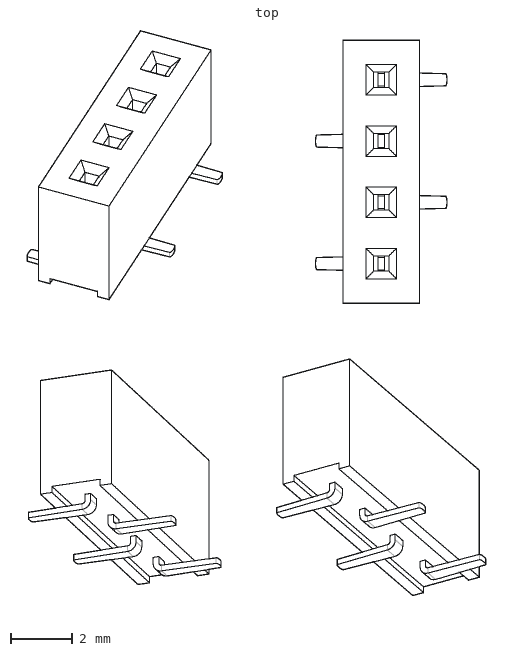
import cadquery as cq
import math

LENGTH = 8.6
WIDTH = 2.5
TOTAL_HEIGHT = 4.3
STANDOFF = 0.3
CHANNEL_WIDTH = 1.685
CHANNEL_DEPTH = 0.215

CONTACT_COUNT = 4
END_MARGIN = 1.3
PITCH = (LENGTH - 2 * END_MARGIN) / (CONTACT_COUNT - 1)

MOUTH_SIZE = 1.0
THROAT_SIZE = 0.5
MOUTH_DEPTH = (MOUTH_SIZE - THROAT_SIZE) / 2
FUNNEL_ANGLE = 45
THROAT_DEPTH = 2.0
RECESS_WIDTH = 0.2
RECESS_DEPTH = 0.04

STRIP_THICKNESS = 0.2
STRIP_WIDTH = 0.5
TIP_WIDTH = 0.4
TAIL_REACH = 2.15
BEND_INNER_RADIUS = STRIP_THICKNESS / 2
TIP_BULGE = 0.05

CHANNEL_TOP = STANDOFF + CHANNEL_DEPTH


def make_housing():
    """Block standing above the tails, with a channel along its underside."""
    block_height = TOTAL_HEIGHT - STANDOFF
    base = cq.Workplane("XY").workplane(offset=STANDOFF)
    block = base.rect(WIDTH, LENGTH).extrude(block_height)
    channel = base.rect(CHANNEL_WIDTH, LENGTH).extrude(CHANNEL_DEPTH)
    return block.cut(channel)


def make_socket(y):
    """Void of one socket, opening at the top of the housing."""
    top = cq.Workplane("XY").workplane(offset=TOTAL_HEIGHT).center(0, y)
    funnel = top.rect(MOUTH_SIZE, MOUTH_SIZE).extrude(-MOUTH_DEPTH, taper=FUNNEL_ANGLE)
    throat = top.rect(THROAT_SIZE, THROAT_SIZE).extrude(-(MOUTH_DEPTH + THROAT_DEPTH))

    throat_floor = TOTAL_HEIGHT - MOUTH_DEPTH - THROAT_DEPTH
    recess_floor = throat_floor - RECESS_DEPTH
    half_length = THROAT_SIZE / 2
    half_floor_length = half_length - RECESS_DEPTH
    recess = (
        cq.Workplane("YZ")
        .polyline([
            (y - half_length, throat_floor),
            (y + half_length, throat_floor),
            (y + half_floor_length, recess_floor),
            (y - half_floor_length, recess_floor),
        ])
        .close()
        .extrude(RECESS_WIDTH / 2, both=True)
    )
    return funnel.union(throat).union(recess)


def make_tail(y, side):
    """Strip leaving the channel roof and bending out towards side (+1 or -1) in X."""
    half = STRIP_THICKNESS / 2
    outer_radius = BEND_INNER_RADIUS + STRIP_THICKNESS
    bend_x = half + BEND_INNER_RADIUS
    bend_z = outer_radius
    diagonal = math.sqrt(0.5)

    strip = (
        cq.Workplane("XZ")
        .moveTo(-half, CHANNEL_TOP)
        .lineTo(-half, bend_z)
        .threePointArc((bend_x - outer_radius * diagonal, bend_z - outer_radius * diagonal), (bend_x, 0))
        .lineTo(TAIL_REACH, 0)
        .lineTo(TAIL_REACH, STRIP_THICKNESS)
        .lineTo(bend_x, STRIP_THICKNESS)
        .threePointArc(
            (bend_x - BEND_INNER_RADIUS * diagonal, bend_z - BEND_INNER_RADIUS * diagonal),
            (half, bend_z),
        )
        .lineTo(half, CHANNEL_TOP)
        .close()
        .extrude(STRIP_WIDTH / 2, both=True)
    )

    tip_x = TAIL_REACH - TIP_BULGE
    outline = (
        cq.Workplane("XY")
        .moveTo(-half, -STRIP_WIDTH / 2)
        .lineTo(bend_x, -STRIP_WIDTH / 2)
        .lineTo(tip_x, -TIP_WIDTH / 2)
        .ellipseArc(TIP_BULGE, TIP_WIDTH / 2, 270, 90)
        .lineTo(bend_x, STRIP_WIDTH / 2)
        .lineTo(-half, STRIP_WIDTH / 2)
        .close()
        .extrude(CHANNEL_TOP)
    )
    tail = strip.intersect(outline)
    if side < 0:
        tail = tail.mirror("YZ")
    return tail.translate((0, y, 0))


result = make_housing()
for index in range(CONTACT_COUNT):
    contact_y = ((CONTACT_COUNT - 1) / 2 - index) * PITCH
    tail_side = 1 if index % 2 == 0 else -1
    result = result.cut(make_socket(contact_y)).union(make_tail(contact_y, tail_side))